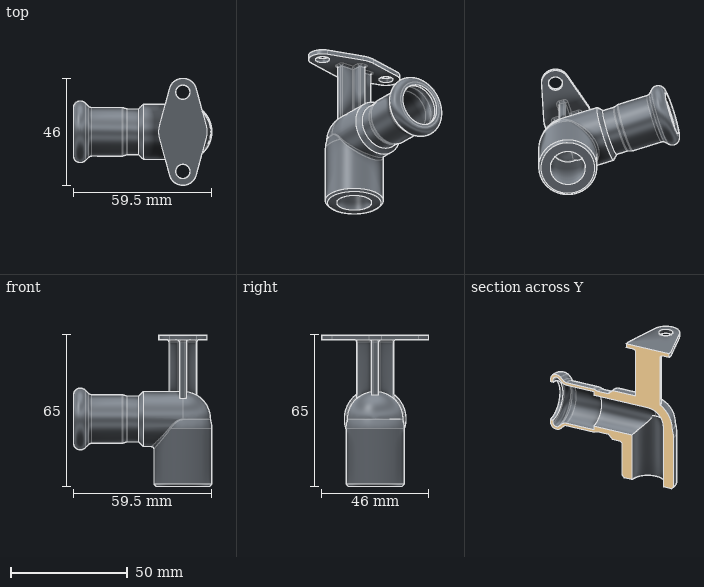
import cadquery as cq
import math


socket_end_x = -47.0
bead_radius = 3.0
bead_center_radius = 10.3
bead_flank_angle = math.radians(45)
bead_root_radius = 2.0
sleeve_radius = 21.0 / 2
sleeve_end_x = -26.0
neck_radius = 19.8 / 2
neck_start_x = -24.0
body_radius = 23.8 / 2
shoulder_end_x = -17.0
shoulder_length = body_radius - neck_radius
sleeve_blend_radius = 1.5

wall = 1.45
tube_radius = sleeve_radius - wall
tube_stop_x = sleeve_end_x
bore_radius = 14.7 / 2

outlet_radius = 25.0 / 2
outlet_bottom_z = -29.0
outlet_dome_z = -4.0
outlet_chamfer = 1.0
outlet_bore_radius = 15.0 / 2
outlet_bore_cone_height = 0.4
junction_fillet = 1.0

plate_top_z = 36.0
plate_thickness = 2.0
plate_bottom_z = plate_top_z - plate_thickness
plate_mid_radius = 10.4
plate_end_radius = 6.0
screw_hole_diameter = 6.0
screw_offset = 17.0

post_length_x = 12.0
post_length_y = 16.0
post_rib_thickness = 3.0
post_edge_fillet = 0.5
post_plate_fillet = 1.0
post_bottom_z = 8.0

selection_margin = 0.1


def polar(center_x, center_r, radius, angle):
    return (center_x + radius * math.cos(angle), center_r + radius * math.sin(angle))


def revolve_about_x(profile):
    return profile.close().revolve(360, (0, 0, 0), (1, 0, 0))


def add_bead(profile, bead_arc_radius, root_arc_radius):
    """Continue a radial line along the bead arc, its straight flank and the root arc.

    The arcs are concentric for the inner and outer skin of the sleeve.
    """
    bead_x = socket_end_x + bead_radius
    flank_normal = math.pi / 2 - bead_flank_angle
    arc_middle_angle = (math.pi + flank_normal) / 2
    bead_start = polar(bead_x, bead_center_radius, bead_arc_radius, math.pi)
    bead_middle = polar(bead_x, bead_center_radius, bead_arc_radius, arc_middle_angle)
    bead_end = polar(bead_x, bead_center_radius, bead_arc_radius, flank_normal)

    root_center_r = sleeve_radius + bead_root_radius
    center_spacing = bead_radius + bead_root_radius
    center_rise = root_center_r - bead_center_radius
    flank_offset = center_spacing - center_rise * math.sin(flank_normal)
    root_x = bead_x + flank_offset / math.cos(flank_normal)
    root_start = polar(root_x, root_center_r, root_arc_radius, flank_normal + math.pi)
    root_middle_angle = (flank_normal + math.pi + 3 * math.pi / 2) / 2
    root_middle = polar(root_x, root_center_r, root_arc_radius, root_middle_angle)
    root_end = polar(root_x, root_center_r, root_arc_radius, 3 * math.pi / 2)

    return (
        profile.lineTo(*bead_start)
        .threePointArc(bead_middle, bead_end)
        .lineTo(*root_start)
        .threePointArc(root_middle, root_end)
    )


def make_socket():
    """Beaded press sleeve, neck and body, turned about X, with a rounded elbow end."""
    start = cq.Workplane("XY").moveTo(socket_end_x, 0)
    profile = (
        add_bead(start, bead_radius, bead_root_radius)
        .lineTo(sleeve_end_x, sleeve_radius)
        .lineTo(neck_start_x, neck_radius)
        .lineTo(shoulder_end_x - shoulder_length, neck_radius)
        .lineTo(shoulder_end_x, body_radius)
        .lineTo(0, body_radius)
        .threePointArc(polar(0, 0, body_radius, math.pi / 4), (body_radius, 0))
    )
    socket = revolve_about_x(profile)
    step_zone = cq.selectors.BoxSelector(
        (sleeve_end_x - selection_margin, -sleeve_radius, -sleeve_radius),
        (neck_start_x + selection_margin, sleeve_radius, sleeve_radius),
    )
    return socket.edges(step_zone).edges("%CIRCLE").fillet(sleeve_blend_radius)


def make_outlet():
    """Chamfered outlet barrel, turned about Z, closed by a spherical dome."""
    profile = (
        cq.Workplane("XZ")
        .moveTo(0, outlet_bottom_z)
        .lineTo(outlet_radius - outlet_chamfer, outlet_bottom_z)
        .lineTo(outlet_radius, outlet_bottom_z + outlet_chamfer)
        .lineTo(outlet_radius, outlet_dome_z)
        .threePointArc(
            polar(0, outlet_dome_z, outlet_radius, math.pi / 4),
            (0, outlet_dome_z + outlet_radius),
        )
        .close()
    )
    return profile.revolve(360, (0, 0, 0), (0, 1, 0))


def make_body():
    """Solid elbow: socket and outlet joined, with a rounded junction."""
    socket = make_socket()
    outlet = make_outlet()
    body = socket.union(outlet)
    crotch = cq.selectors.NearestToPointSelector((-outlet_radius, 0, -body_radius))
    return body.edges(crotch).fillet(junction_fillet)


def make_post():
    """Cross-section post with rounded outer and inner corners."""
    height = plate_bottom_z - post_bottom_z
    base = cq.Workplane("XY").workplane(offset=post_bottom_z)
    rib_x = base.rect(post_length_x, post_rib_thickness).extrude(height)
    rib_y = base.rect(post_rib_thickness, post_length_y).extrude(height)
    return rib_x.union(rib_y).edges("|Z").fillet(post_edge_fillet)


def make_plate():
    """Lozenge plate: a large central disc joined by tangent lines to two end discs."""
    tilt = math.asin((plate_mid_radius - plate_end_radius) / screw_offset)
    mid_x, mid_y = polar(0, 0, plate_mid_radius, tilt)
    end_x, end_y = polar(0, screw_offset, plate_end_radius, tilt)
    tip_y = screw_offset + plate_end_radius
    return (
        cq.Workplane("XY")
        .workplane(offset=plate_bottom_z)
        .moveTo(mid_x, mid_y)
        .lineTo(end_x, end_y)
        .threePointArc((0, tip_y), (-end_x, end_y))
        .lineTo(-mid_x, mid_y)
        .threePointArc((-plate_mid_radius, 0), (-mid_x, -mid_y))
        .lineTo(-end_x, -end_y)
        .threePointArc((0, -tip_y), (end_x, -end_y))
        .lineTo(mid_x, -mid_y)
        .threePointArc((plate_mid_radius, 0), (mid_x, mid_y))
        .close()
        .extrude(plate_thickness)
        .faces(">Z")
        .workplane(origin=(0, 0, plate_top_z))
        .pushPoints([(0, screw_offset), (0, -screw_offset)])
        .hole(screw_hole_diameter)
    )


def make_mount():
    """Plate and post with a fillet where they meet."""
    mount = make_plate().union(make_post())
    half_x = post_length_x / 2 + selection_margin
    half_y = post_length_y / 2 + selection_margin
    root_zone = cq.selectors.BoxSelector(
        (-half_x, -half_y, plate_bottom_z - selection_margin),
        (half_x, half_y, plate_bottom_z + selection_margin),
    )
    return mount.edges(root_zone).fillet(post_plate_fillet)


def make_socket_bore():
    """Tube socket with the hollow bead, and the narrower bore with a round end."""
    lip_x = socket_end_x + wall
    mouth = (
        cq.Workplane("XZ")
        .moveTo(socket_end_x, 0)
        .lineTo(socket_end_x, tube_radius)
        .lineTo(lip_x, tube_radius)
    )
    profile = (
        add_bead(mouth, bead_radius - wall, bead_root_radius + wall)
        .lineTo(tube_stop_x, tube_radius)
        .lineTo(tube_stop_x, bore_radius)
        .lineTo(0, bore_radius)
        .threePointArc(polar(0, 0, bore_radius, math.pi / 4), (bore_radius, 0))
    )
    return revolve_about_x(profile)


def make_outlet_bore():
    """Through bore of the outlet, with a short cone up to the round end of the socket bore."""
    cone_top_radius = math.sqrt(bore_radius**2 - outlet_bore_cone_height**2)
    profile = (
        cq.Workplane("YZ")
        .moveTo(0, outlet_bottom_z)
        .lineTo(outlet_bore_radius, outlet_bottom_z)
        .lineTo(outlet_bore_radius, 0)
        .lineTo(cone_top_radius, outlet_bore_cone_height)
        .lineTo(0, outlet_bore_cone_height)
        .close()
    )
    return profile.revolve(360, (0, 0, 0), (0, 1, 0))


result = make_body().union(make_mount()).cut(make_socket_bore()).cut(make_outlet_bore())